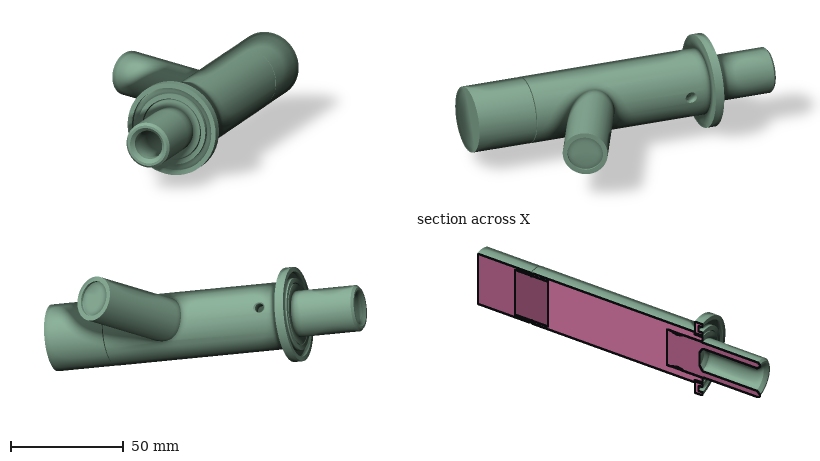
import cadquery as cq
import math


OVERALL_LENGTH = 143.0
TAIL_LENGTH = 29.0
FLANGE_THICKNESS = 4.0
BODY_TOP = 86.5
KNOB_GAP = 0.5
KNOB_TOP = OVERALL_LENGTH - TAIL_LENGTH

BODY_DIAMETER = 29.9
KNOB_DIAMETER = 29.7
SPIGOT_DIAMETER = 27.0
SPOUT_DIAMETER = 20.0
SPOUT_LENGTH = 57.2
SPOUT_ANGLE = 25.0
SPOUT_BASE_Y = 53.9

AERATOR_DIAMETER = 16.9
AERATOR_LENGTH = 6.0
AERATOR_RECESS_DIAMETER = 15.7
AERATOR_RECESS_DEPTH = 1.1

SCREW_HOLE_DIAMETER = 4.1
SCREW_SINK_DIAMETER = 5.5
SCREW_HOLE_Y = 13.3

FLANGE_DIAMETER = 42.0
FLANGE_BORE = 28.0
SEAL_OUTER_DIAMETER = 37.9
SEAL_INNER_DIAMETER = 32.2
SEAL_DEPTH = 2.0

TAIL_DIAMETER = 20.6
TAIL_TOP = 18.0
GROOVE_Y = 12.9
GROOVE_HALF_WIDTH = 2.9
GROOVE_DEPTH = 0.7
TAIL_RIM_DIAMETER = 18.5
BORE_MOUTH_DIAMETER = 16.3
BORE_DIAMETER = 13.0
BORE_DEPTH = TAIL_LENGTH
BORE_END_DIAMETER = 8.2
DRILL_POINT_ANGLE = 118.0

CARTRIDGE_DIAMETER = 26.0
CARTRIDGE_SOCKET = 8.0


def cylinder_y(diameter, start, end):
    """Cylinder on the Y axis between two stations."""
    height = end - start
    return cq.Workplane("XZ", origin=(0, start, 0)).circle(diameter / 2).extrude(-height)


def spout_cylinder(diameter, start, end):
    """Cylinder on the spout axis between two distances from the main axis."""
    angle = math.radians(SPOUT_ANGLE)
    direction = cq.Vector(-math.cos(angle), math.sin(angle), 0)
    base = cq.Vector(0, SPOUT_BASE_Y, 0) + direction * start
    return cq.Workplane(cq.Solid.makeCylinder(diameter / 2, end - start, base, direction))


def make_screw_hole():
    """Radial cutter from the -X side, with a 45 degree countersink at the body surface."""
    hole_radius = SCREW_HOLE_DIAMETER / 2
    sink_radius = SCREW_SINK_DIAMETER / 2
    body_radius = BODY_DIAMETER / 2
    start = cq.Vector(-body_radius, SCREW_HOLE_Y, 0)
    inward = cq.Vector(1, 0, 0)
    hole = cq.Solid.makeCylinder(hole_radius, body_radius, start, inward)
    sink = cq.Solid.makeCone(sink_radius, hole_radius, sink_radius - hole_radius, start, inward)
    return cq.Workplane(hole).union(cq.Workplane(sink))


def make_body():
    body = cylinder_y(BODY_DIAMETER, FLANGE_THICKNESS, BODY_TOP)
    body = body.union(spout_cylinder(SPOUT_DIAMETER, 0, SPOUT_LENGTH))
    body = body.cut(spout_cylinder(AERATOR_DIAMETER, SPOUT_LENGTH - AERATOR_LENGTH, SPOUT_LENGTH))
    body = body.union(cylinder_y(SPIGOT_DIAMETER, 0, FLANGE_THICKNESS))
    body = body.cut(cylinder_y(TAIL_DIAMETER, 0, TAIL_TOP))
    body = body.cut(cylinder_y(CARTRIDGE_DIAMETER, BODY_TOP - CARTRIDGE_SOCKET, BODY_TOP))
    return body.cut(make_screw_hole())


def make_knob():
    bottom = BODY_TOP + KNOB_GAP
    knob = cylinder_y(KNOB_DIAMETER, bottom, KNOB_TOP)
    return knob.cut(cylinder_y(CARTRIDGE_DIAMETER, bottom, bottom + CARTRIDGE_SOCKET))


def make_cartridge():
    return cylinder_y(
        CARTRIDGE_DIAMETER,
        BODY_TOP - CARTRIDGE_SOCKET,
        BODY_TOP + KNOB_GAP + CARTRIDGE_SOCKET,
    )


def make_flange():
    flange = cylinder_y(FLANGE_DIAMETER, 0, FLANGE_THICKNESS)
    flange = flange.cut(cylinder_y(FLANGE_BORE, 0, FLANGE_THICKNESS))
    seal_groove = cylinder_y(SEAL_OUTER_DIAMETER, 0, SEAL_DEPTH)
    seal_groove = seal_groove.cut(cylinder_y(SEAL_INNER_DIAMETER, 0, SEAL_DEPTH))
    return flange.cut(seal_groove)


def make_tail():
    """Grooved tube turned about the Y axis, with a chamfered rim and a blind drilled bore."""
    tail_radius = TAIL_DIAMETER / 2
    rim_radius = TAIL_RIM_DIAMETER / 2
    mouth_radius = BORE_MOUTH_DIAMETER / 2
    bore_radius = BORE_DIAMETER / 2
    bore_end_radius = BORE_END_DIAMETER / 2
    tail_end = -TAIL_LENGTH
    bore_bottom = tail_end + BORE_DEPTH
    point_depth = (bore_radius - bore_end_radius) / math.tan(math.radians(DRILL_POINT_ANGLE / 2))
    bore_end = bore_bottom + point_depth
    profile = [
        (0, TAIL_TOP),
        (tail_radius, TAIL_TOP),
        (tail_radius, GROOVE_Y + GROOVE_HALF_WIDTH),
        (tail_radius - GROOVE_DEPTH, GROOVE_Y),
        (tail_radius, GROOVE_Y - GROOVE_HALF_WIDTH),
        (tail_radius, tail_end + tail_radius - rim_radius),
        (rim_radius, tail_end),
        (mouth_radius, tail_end),
        (bore_radius, tail_end + mouth_radius - bore_radius),
        (bore_radius, bore_bottom),
        (bore_end_radius, bore_end),
        (0, bore_end),
    ]
    return cq.Workplane("XY").polyline(profile).close().revolve(360, (0, 0, 0), (0, 1, 0))


def make_aerator():
    aerator = spout_cylinder(AERATOR_DIAMETER, SPOUT_LENGTH - AERATOR_LENGTH, SPOUT_LENGTH)
    recess_floor = SPOUT_LENGTH - AERATOR_RECESS_DEPTH
    return aerator.cut(spout_cylinder(AERATOR_RECESS_DIAMETER, recess_floor, SPOUT_LENGTH))


body = make_body()
knob = make_knob()
cartridge = make_cartridge()
flange = make_flange()
tail = make_tail()
aerator = make_aerator()

result = cq.Compound.makeCompound([
    body.val(),
    knob.val(),
    cartridge.val(),
    flange.val(),
    tail.val(),
    aerator.val(),
])